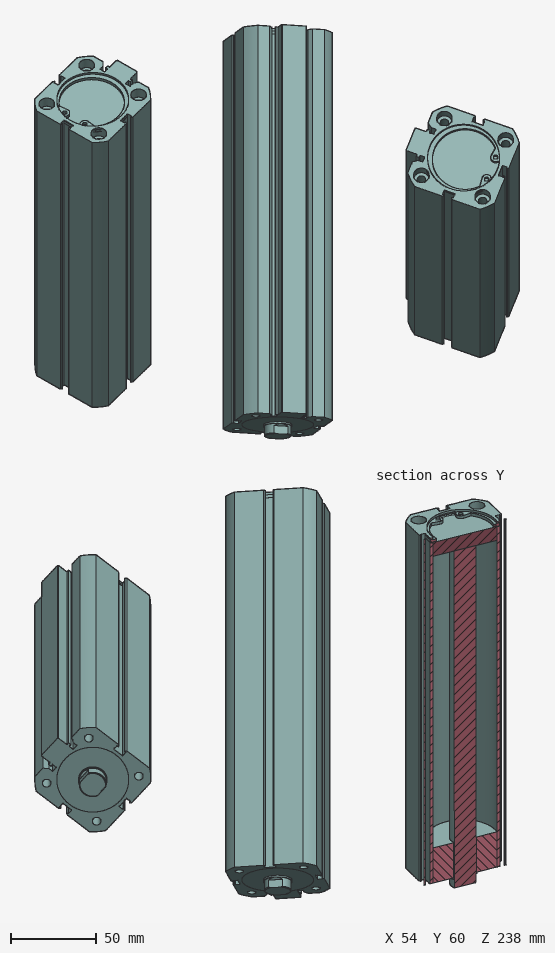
import cadquery as cq

total_length = 238.0
rod_projection = 7.0
housing_length = total_length - rod_projection
housing_width = 54.0
half_width = housing_width / 2
corner_radius = 33.8

slot_opening = 4.8
slot_width = 6.7
slot_depth = 4.0
slot_lip = 1.2
slot_chamfer = 0.7

rail_width = 15.2
rail_height = 6.0
rail_corner = 0.5
flange_width = 18.0
flange_top = 1.0
flange_bottom = 2.9
channel_depth = 5.7
channel_floor_width = 22.0
channel_mouth_width = 26.2
channel_taper_depth = 2.9

hole_pitch = 38.0
hole_diameter = 5.0
counterbore_diameter = 9.0
counterbore_depth = 7.1

bore_radius = 21.0
groove_radius = 22.5
ring_recess = 1.5
ring_thickness = 2.0

ring_inner_radius = 19.0
ring_eccentricity = 1.0
ring_gap = 11.0
lug_x = 7.4
lug_y = -17.1
lug_radius = 2.9
lug_hole_diameter = 2.5
lug_root_x = 13.8
lug_root_y = -15.0

head_cover_thickness = 9.5
collar_thickness = 23.8
lip_radius = 8.3
lip_height = 1.0
rod_radius = 7.9
rod_chamfer = 0.5
flat_width = 13.3
flat_start = 2.1

ring_top = housing_length - ring_recess
ring_bottom = ring_top - ring_thickness
head_cover_bottom = ring_bottom - head_cover_thickness


def make_profile():
    """Square outline with its corners rounded about the bore axis."""
    square = cq.Workplane("XY").rect(housing_width, housing_width).extrude(housing_length)
    return square.intersect(cq.Workplane("XY").circle(corner_radius).extrude(housing_length))


def make_slot(angle):
    """T-slot in the +X face with chamfered lips, turned about Z by the angle."""
    floor = half_width - slot_depth
    lip_bottom = half_width - slot_lip
    half_slot = slot_width / 2
    half_opening = slot_opening / 2
    return (
        cq.Workplane("XY")
        .moveTo(floor, -half_slot)
        .lineTo(lip_bottom, -half_slot)
        .lineTo(lip_bottom, -half_opening)
        .lineTo(half_width - slot_chamfer, -half_opening)
        .lineTo(half_width, -half_opening - slot_chamfer)
        .lineTo(half_width, half_opening + slot_chamfer)
        .lineTo(half_width - slot_chamfer, half_opening)
        .lineTo(lip_bottom, half_opening)
        .lineTo(lip_bottom, half_slot)
        .lineTo(floor, half_slot)
        .close()
        .extrude(housing_length)
        .rotate((0, 0, 0), (0, 0, 1), angle)
    )


def make_channel():
    """Channel in the +Y face that holds the rail."""
    floor = half_width - channel_depth
    taper_start = half_width - channel_taper_depth
    half_floor = channel_floor_width / 2
    half_mouth = channel_mouth_width / 2
    return (
        cq.Workplane("XY")
        .moveTo(-half_floor, floor)
        .lineTo(half_floor, floor)
        .lineTo(half_floor, taper_start)
        .lineTo(half_mouth, half_width)
        .lineTo(-half_mouth, half_width)
        .lineTo(-half_floor, taper_start)
        .close()
        .extrude(housing_length)
    )


def make_rail():
    """Rail standing in the channel, with a flange on each side."""
    floor = half_width - channel_depth
    stem = (
        cq.Workplane("XY")
        .box(rail_width, channel_depth + rail_height, housing_length, centered=(True, False, False))
        .translate((0, floor, 0))
        .edges("|Z and >Y")
        .chamfer(rail_corner)
    )
    flange = (
        cq.Workplane("XY")
        .box(flange_width, flange_bottom - flange_top, housing_length, centered=(True, False, False))
        .translate((0, half_width - flange_bottom, 0))
    )
    return stem.union(flange)


def make_housing():
    """Extruded tube with slots, rail, mounting holes and a grooved bore."""
    housing = make_profile()
    for angle in (0, 180, 270):
        housing = housing.cut(make_slot(angle))
    housing = housing.cut(make_channel()).union(make_rail())
    housing = (
        housing.faces(">Z")
        .workplane(origin=(0, 0, housing_length))
        .rect(hole_pitch, hole_pitch, forConstruction=True)
        .vertices()
        .cboreHole(hole_diameter, counterbore_diameter, counterbore_depth)
    )
    bore = cq.Workplane("XY").circle(bore_radius).extrude(housing_length)
    groove = cq.Workplane("XY", origin=(0, 0, ring_bottom)).circle(groove_radius).extrude(ring_thickness)
    return housing.cut(bore).cut(groove)


def make_lug(side):
    """Ring lug with its pliers hole, on the +X side (1) or the -X side (-1)."""
    plane = cq.Workplane("XY", origin=(0, 0, ring_bottom))
    eye = plane.center(side * lug_x, lug_y).circle(lug_radius).extrude(ring_thickness)
    root = (
        plane.moveTo(side * lug_x, lug_y + lug_radius)
        .lineTo(side * lug_root_x, lug_root_y)
        .lineTo(side * lug_x, -groove_radius)
        .close()
        .extrude(ring_thickness)
    )
    return eye.union(root)


def make_retaining_ring():
    """Internal retaining ring that sits in the groove, open on the -Y side."""
    plane = cq.Workplane("XY", origin=(0, 0, ring_bottom))
    disc = plane.circle(groove_radius).extrude(ring_thickness)
    inside = plane.center(0, -ring_eccentricity).circle(ring_inner_radius).extrude(ring_thickness)
    gap = plane.center(0, -groove_radius).rect(ring_gap, groove_radius).extrude(ring_thickness)
    ring = disc.cut(inside).cut(gap)
    for side in (-1, 1):
        ring = ring.union(make_lug(side).intersect(disc))
    lug_holes = (
        plane.pushPoints([(-lug_x, lug_y), (lug_x, lug_y)])
        .circle(lug_hole_diameter / 2)
        .extrude(ring_thickness)
    )
    return ring.cut(lug_holes)


def make_head_cover():
    """Disc that closes the bore below the retaining ring."""
    return cq.Workplane("XY", origin=(0, 0, head_cover_bottom)).circle(bore_radius).extrude(head_cover_thickness)


def make_rod_collar():
    """Guide collar in the rod end of the bore, with a lip around the rod."""
    collar = cq.Workplane("XY").circle(bore_radius).extrude(collar_thickness)
    lip = cq.Workplane("XY").circle(lip_radius).extrude(-lip_height)
    rod_hole = (
        cq.Workplane("XY", origin=(0, 0, -lip_height))
        .circle(rod_radius)
        .extrude(collar_thickness + lip_height)
    )
    return collar.union(lip).cut(rod_hole)


def make_flat_cutter(side):
    """Material outside one wrench flat, with a 45 degree run-out at its top."""
    flat_y = flat_width / 2
    run_out = rod_radius - flat_y
    return (
        cq.Workplane("YZ", origin=(-rod_radius, 0, 0))
        .moveTo(side * flat_y, -rod_projection)
        .lineTo(side * flat_y, -flat_start)
        .lineTo(side * rod_radius, run_out - flat_start)
        .lineTo(side * rod_radius, -rod_projection)
        .close()
        .extrude(2 * rod_radius)
    )


def make_rod():
    """Rod from the head cover out through the collar, with two wrench flats."""
    rod = (
        cq.Workplane("XY", origin=(0, 0, -rod_projection))
        .circle(rod_radius)
        .extrude(head_cover_bottom + rod_projection)
        .faces("<Z")
        .chamfer(rod_chamfer)
    )
    for side in (-1, 1):
        rod = rod.cut(make_flat_cutter(side))
    return rod


housing = make_housing()
retaining_ring = make_retaining_ring()
head_cover = make_head_cover()
rod_collar = make_rod_collar()
rod = make_rod()

result = cq.Compound.makeCompound(
    [housing.val(), retaining_ring.val(), head_cover.val(), rod_collar.val(), rod.val()]
)